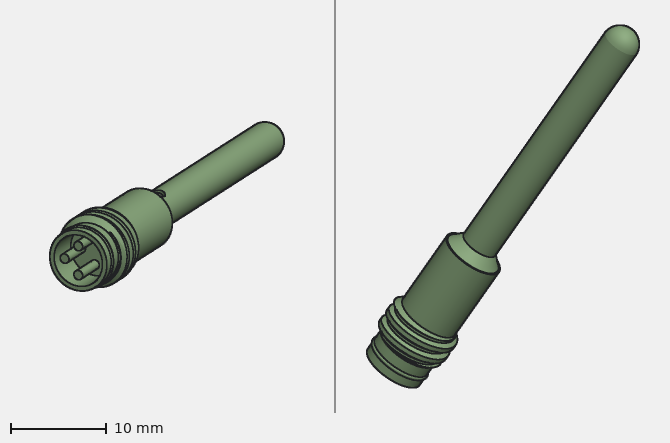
import cadquery as cq
import math

total_length = 46.8

rod_radius = 2.0
dome_height = 1.8

body_radius = 3.3
shoulder_radius = 3.15
shoulder_start = 15.7
shoulder_end = 17.0

ring_radius = 3.45
ring_start = 1.05
ring_end = 1.5

thread_start = 2.75
thread_end = 6.95
thread_root_radius = 3.45
thread_major_diameter = 8.0
thread_major_radius = thread_major_diameter / 2
thread_pitch = 1.5
thread_crest_width = 0.55
thread_flank_angle = 30.0
thread_crest_at_plus_x = 3.7
thread_overlap = 0.1

socket_radius = 2.8
socket_depth = 4.0
pin_radius = 0.5
pin_circle_radius = 1.6
pin_angles = (90, 180, 270)

indicator_position = 18.58
indicator_radius = 1.0


def cylinder(radius, start, end, x=0.0, z=0.0):
    """Cylinder parallel to Y."""
    base = cq.Vector(x, start, z)
    return cq.Workplane(cq.Solid.makeCylinder(radius, end - start, base, cq.Vector(0, 1, 0)))


def revolve_about_y(profile):
    return profile.close().revolve(360, (0, 0, 0), (0, 1, 0))


def make_body():
    dome_start = total_length - dome_height
    dome_sphere_radius = (rod_radius**2 + dome_height**2) / (2 * dome_height)
    dome_centre = total_length - dome_sphere_radius
    middle_angle = math.atan2(dome_start - dome_centre, rod_radius) / 2 + math.pi / 4
    dome_middle = (
        dome_sphere_radius * math.cos(middle_angle),
        dome_centre + dome_sphere_radius * math.sin(middle_angle),
    )
    profile = (
        cq.Workplane("XY")
        .lineTo(body_radius, 0)
        .lineTo(body_radius, shoulder_start)
        .lineTo(shoulder_radius, shoulder_start)
        .lineTo(rod_radius, shoulder_end)
        .lineTo(rod_radius, dome_start)
        .threePointArc(dome_middle, (0, total_length))
    )
    return revolve_about_y(profile)


def make_ring():
    ring_middle = (ring_start + ring_end) / 2
    profile = (
        cq.Workplane("XY")
        .moveTo(socket_radius, ring_start)
        .lineTo(body_radius, ring_start)
        .threePointArc((ring_radius, ring_middle), (body_radius, ring_end))
        .lineTo(socket_radius, ring_end)
    )
    return revolve_about_y(profile)


def make_thread_envelope(outer_radius):
    """Cylinder with 45 degree end cones that run down to the body surface."""
    rise = outer_radius - body_radius
    profile = (
        cq.Workplane("XY")
        .moveTo(0, thread_start)
        .lineTo(body_radius, thread_start)
        .lineTo(outer_radius, thread_start + rise)
        .lineTo(outer_radius, thread_end - rise)
        .lineTo(body_radius, thread_end)
        .lineTo(0, thread_end)
    )
    return revolve_about_y(profile)


def make_thread():
    lead_in_turns = 2
    turns = math.ceil((thread_end - thread_start) / thread_pitch) + lead_in_turns
    first_crest = thread_crest_at_plus_x - lead_in_turns * thread_pitch
    inner_radius = thread_root_radius - thread_overlap
    flank_run = (thread_major_radius - inner_radius) * math.tan(math.radians(thread_flank_angle))
    half_crest = thread_crest_width / 2
    half_base = half_crest + flank_run
    helix = cq.Wire.makeHelix(thread_pitch, turns * thread_pitch, inner_radius)
    ridge = (
        cq.Workplane("XZ")
        .moveTo(inner_radius, -half_base)
        .lineTo(thread_major_radius, -half_crest)
        .lineTo(thread_major_radius, half_crest)
        .lineTo(inner_radius, half_base)
        .close()
        .sweep(cq.Workplane(helix), isFrenet=True)
        .rotate((0, 0, 0), (1, 0, 0), -90)
        .translate((0, first_crest, 0))
    )
    trimmed_ridge = ridge.intersect(make_thread_envelope(thread_major_radius + thread_overlap))
    return make_thread_envelope(thread_root_radius).union(trimmed_ridge)


def add_socket(part):
    part = part.cut(cylinder(socket_radius, 0, socket_depth))
    for angle in pin_angles:
        x = pin_circle_radius * math.cos(math.radians(angle))
        z = pin_circle_radius * math.sin(math.radians(angle))
        part = part.union(cylinder(pin_radius, 0, socket_depth, x, z))
    return part


def add_indicator(part):
    ball_centre = rod_radius - indicator_radius
    hole = (
        cq.Workplane("XY", origin=(0, indicator_position, ball_centre))
        .circle(indicator_radius)
        .extrude(rod_radius)
    )
    ball = cq.Workplane("XY").sphere(indicator_radius).translate((0, indicator_position, ball_centre))
    return part.cut(hole).union(ball)


connector = make_body().union(make_ring()).union(make_thread())
result = add_indicator(add_socket(connector))